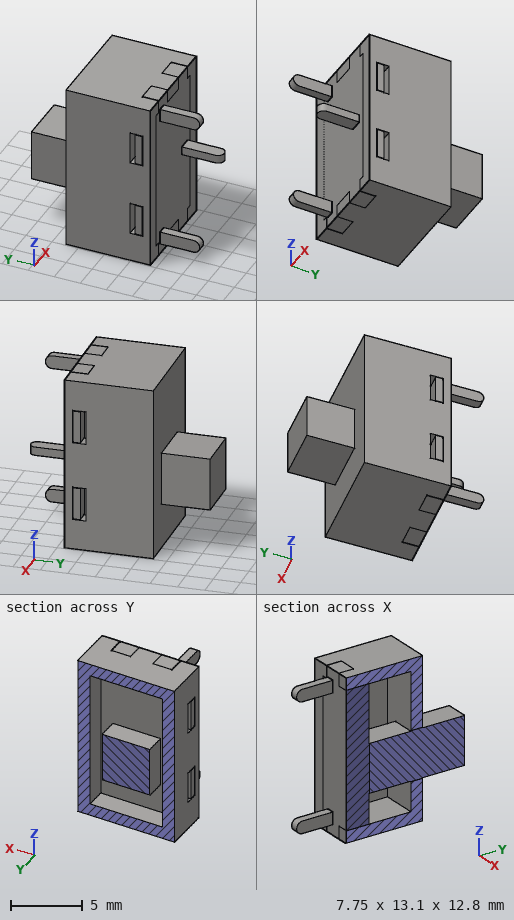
import cadquery as cq

width = 7.75
height = 12.83
wall = 1.0
case_depth = 6.5

seal_thickness = 0.055

base_depth = 2.0
clearance = 0.05

tab_width = 1.5
tab_outer_edge = 2.4
tab_depth = 1.3

window_near = 0.6
window_far = 1.58
window_height = 2.47
window_offset = 2.93
catch_far = 1.18

pin_length = 3.03
pin_width = 0.98
pin_thickness = 0.64
outer_pin_x = -1.93
outer_pin_z = 5.1
middle_pin_x = 1.9

overall_depth = 13.08
slider_tip = overall_depth - pin_length
slider_width = 3.82
slider_height = 3.9
slider_z = -1.13

inner_width = width - 2 * wall
inner_height = height - 2 * wall
cavity_end = case_depth - wall


def block(x_range, y_range, z_range):
    """Box spanning the given (low, high) ranges."""
    sizes = [high - low for low, high in (x_range, y_range, z_range)]
    corner = (x_range[0], y_range[0], z_range[0])
    return cq.Workplane("XY").box(*sizes, centered=False).translate(corner)


def centred(size, middle=0):
    """Range of the given size about its middle."""
    return (middle - size / 2, middle + size / 2)


def wall_ranges(outer_size):
    """Ranges of the two opposite walls that lie outer_size apart."""
    low, high = centred(outer_size)
    return ((low, low + wall), (high - wall, high))


def end_wall_blocks(outer_edge):
    """Four blocks through the end walls, widened sideways as far as outer_edge."""
    inner_edge = tab_outer_edge - tab_width
    return [
        block(x_range, (seal_thickness, tab_depth), z_range)
        for x_range in ((-outer_edge, -inner_edge), (inner_edge, outer_edge))
        for z_range in wall_ranges(height)
    ]


def side_wall_blocks(near, far, block_height):
    """Four blocks through the side walls, from near to far along Y."""
    return [
        block(x_range, (near, far), centred(block_height, z))
        for x_range in wall_ranges(width)
        for z in (-window_offset, window_offset)
    ]


def make_slider():
    """Plain bar that stands on the base and passes through the end of the housing."""
    return block(centred(slider_width), (base_depth, slider_tip), centred(slider_height, slider_z))


def make_housing():
    shell = block(centred(width), (seal_thickness, case_depth), centred(height))
    cavity = block(centred(inner_width), (seal_thickness, cavity_end), centred(inner_height))
    shell = shell.cut(cavity)
    for notch in end_wall_blocks(tab_outer_edge + clearance):
        shell = shell.cut(notch)
    for window in side_wall_blocks(window_near, window_far, window_height):
        shell = shell.cut(window)
    return shell.cut(make_slider())


def make_pin(plane):
    """Flat terminal with a round tip, running along -Y from the depth of the tabs."""
    radius = pin_width / 2
    shoulder = pin_length - radius
    return (
        cq.Workplane(plane)
        .moveTo(-radius, tab_depth)
        .lineTo(-radius, -shoulder)
        .threePointArc((0, -pin_length), (radius, -shoulder))
        .lineTo(radius, tab_depth)
        .close()
        .extrude(pin_thickness / 2, both=True)
    )


def make_pins():
    """Middle terminal lying flat, and two outer terminals turned on edge."""
    on_edge = cq.Plane(origin=(0, 0, 0), xDir=(0, 0, -1), normal=(1, 0, 0))
    pins = [make_pin("XY").translate((middle_pin_x, 0, 0))]
    for z in (-outer_pin_z, outer_pin_z):
        pins.append(make_pin(on_edge).translate((outer_pin_x, 0, z)))
    return pins


def make_base():
    """Base block with its tabs and catches, one piece with the three terminals."""
    base = block(centred(inner_width), (seal_thickness, base_depth), centred(inner_height))
    for tab in end_wall_blocks(tab_outer_edge):
        base = base.union(tab)
    catch_height = window_height - 2 * clearance
    for catch in side_wall_blocks(window_near + clearance, catch_far, catch_height):
        base = base.union(catch)
    for pin in make_pins():
        base = base.union(pin)
    return base


def make_seal():
    """Thin sheet over the whole open face, pierced by the terminals."""
    sheet = block(centred(width), (0, seal_thickness), centred(height))
    for pin in make_pins():
        sheet = sheet.cut(pin)
    return sheet


housing = make_housing()
slider = make_slider()
base = make_base()
seal = make_seal()

result = cq.Compound.makeCompound([housing.val(), slider.val(), base.val(), seal.val()])